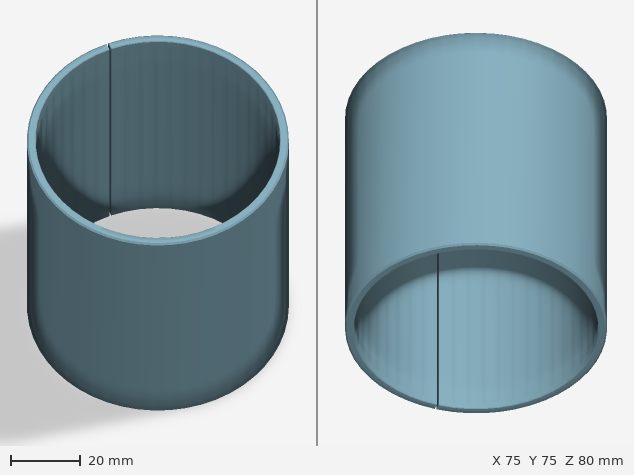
import cadquery as cq

outer_diameter = 75.0
wall_thickness = 2.5
length = 80.0

outer_chamfer = 0.5

bore_chamfer = 0.2

gap_angle = 1.0

outer_radius = outer_diameter / 2
bore_radius = outer_radius - wall_thickness
half_length = length / 2
full_turn = 360.0
sweep_angle = full_turn - gap_angle


def make_wall_section():
    """Wall cross-section on the -X side, chamfered at all four corners."""
    rim_radius = outer_radius - outer_chamfer
    rim_height = half_length - outer_chamfer
    bore_rim_radius = bore_radius + bore_chamfer
    bore_rim_height = half_length - bore_chamfer
    return (
        cq.Workplane("XZ")
        .moveTo(-bore_radius, -bore_rim_height)
        .lineTo(-bore_rim_radius, -half_length)
        .lineTo(-rim_radius, -half_length)
        .lineTo(-outer_radius, -rim_height)
        .lineTo(-outer_radius, rim_height)
        .lineTo(-rim_radius, half_length)
        .lineTo(-bore_rim_radius, half_length)
        .lineTo(-bore_radius, bore_rim_height)
        .close()
    )


def make_split_sleeve():
    """Sweep the section from the -X axis through -Y, stopping short of a full turn."""
    axis_start = (0, 0, 0)
    axis_end = (0, 1, 0)
    return make_wall_section().revolve(sweep_angle, axis_start, axis_end)


result = make_split_sleeve()